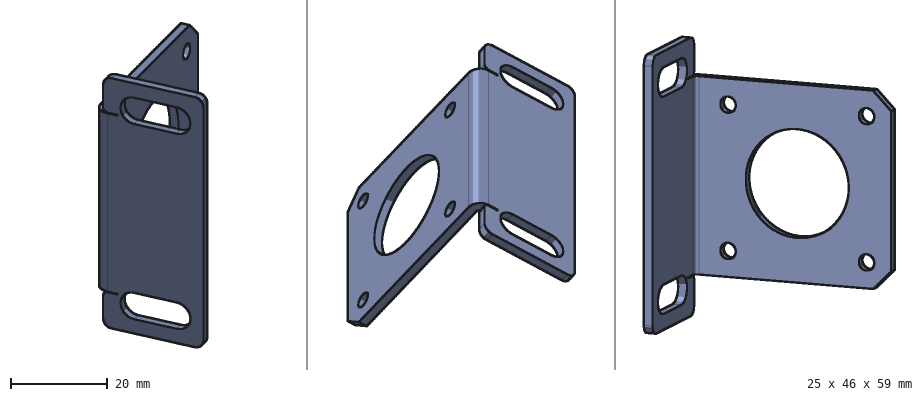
import cadquery as cq

width = 25.0
depth = 46.0
height = 59.0
thickness = 2.0
bend_inner_radius = 1.0
bend_outer_radius = bend_inner_radius + thickness

flange_height = 42.0
flange_chamfer = 4.0
motor_centre_y = 25.0
pilot_diameter = 23.0
screw_spacing = 31.0
screw_diameter = 3.4

tab_corner_radius = 2.0
tab_inner_radius = 1.0
slit_width = 0.2
slit_end_x = 5.25
slot_length = 16.0
slot_width = 6.2
slot_centre_x = 14.05
slot_edge_distance = 6.5


def make_bent_strip():
    """L-shaped sheet with its free flange corners cut off."""
    strip = (
        cq.Workplane("XY")
        .rect(width, depth, centered=False)
        .extrude(flange_height)
        .translate((0, 0, -flange_height / 2))
        .edges("|Z and <X and <Y")
        .fillet(bend_outer_radius)
    )
    inside = (
        cq.Workplane("XY")
        .rect(width, depth, centered=False)
        .extrude(flange_height)
        .translate((thickness, thickness, -flange_height / 2))
        .edges("|Z and <X and <Y")
        .fillet(bend_inner_radius)
    )
    return strip.cut(inside).edges("|X and >Y").chamfer(flange_chamfer)


def make_tabs():
    """Full-height plate with rounded tabs, cleared where the bend runs."""
    plate = (
        cq.Workplane("XY")
        .box(width - thickness, thickness, height, centered=(False, False, True))
        .translate((thickness, 0, 0))
        .edges("|Y")
        .fillet(tab_corner_radius)
    )
    clearance_height = flange_height + 2 * slit_width
    clearance = cq.Workplane("XY").box(
        slit_end_x, thickness, clearance_height, centered=(False, False, True)
    )
    inner_corners = cq.selectors.BoxSelector(
        (thickness - slit_width, -thickness, -clearance_height / 2 - slit_width),
        (thickness + slit_width, 2 * thickness, clearance_height / 2 + slit_width),
    )
    return plate.cut(clearance).edges("|Y").edges(inner_corners).fillet(tab_inner_radius)


def cut_motor_holes(body):
    """Pilot hole and four screw holes through the flange."""
    flange_face = cq.Workplane("YZ").center(motor_centre_y, 0)
    pilot = flange_face.circle(pilot_diameter / 2).extrude(thickness)
    screws = (
        flange_face.rect(screw_spacing, screw_spacing, forConstruction=True)
        .vertices()
        .circle(screw_diameter / 2)
        .extrude(thickness)
    )
    return body.cut(pilot).cut(screws)


def cut_mounting_slots(body):
    """One horizontal slot near each end of the mounting plate."""
    slot_z = height / 2 - slot_edge_distance
    slots = (
        cq.Workplane("XZ")
        .pushPoints([(slot_centre_x, slot_z), (slot_centre_x, -slot_z)])
        .slot2D(slot_length, slot_width)
        .extrude(-thickness)
    )
    return body.cut(slots)


bracket = make_bent_strip().union(make_tabs())
bracket = cut_motor_holes(bracket)
result = cut_mounting_slots(bracket)